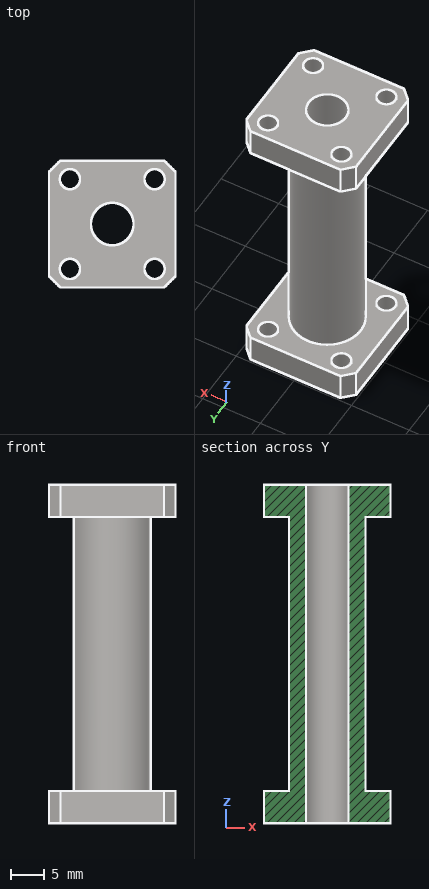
import cadquery as cq

total_length = 50.8
flange_side = 19.05
flange_thickness = 4.9
corner_chamfer = 1.75

tube_diameter = 11.6
bore_diameter = 6.35

bolt_hole_diameter = 3.0
bolt_spacing_x = 12.7
bolt_spacing_y = 13.45


def make_flange(base_z):
    """Square plate with chamfered corners and four bolt holes, standing on base_z."""
    plate = (
        cq.Workplane("XY", origin=(0, 0, base_z))
        .rect(flange_side, flange_side)
        .extrude(flange_thickness)
        .edges("|Z")
        .chamfer(corner_chamfer)
    )
    return (
        plate.faces(">Z")
        .workplane()
        .rect(bolt_spacing_x, bolt_spacing_y, forConstruction=True)
        .vertices()
        .hole(bolt_hole_diameter)
    )


result = cq.Workplane("XY").circle(tube_diameter / 2).extrude(total_length)
for flange_base_z in (0, total_length - flange_thickness):
    result = result.union(make_flange(flange_base_z))

bore = cq.Workplane("XY").circle(bore_diameter / 2).extrude(total_length)
result = result.cut(bore)